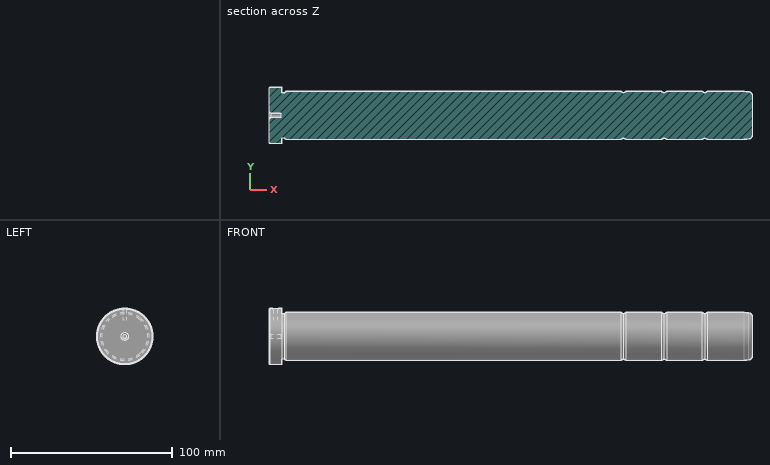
import cadquery as cq
import math

total_length = 300.0
shaft_radius = 15.0
head_diameter = 35.0
head_radius = head_diameter / 2
head_length = 8.0
head_chamfer = 0.5

relief_depth = 1.0
relief_flat = 1.5
relief_slope = 1.0

groove_centers = (220.0, 245.0, 270.3)
groove_width = 3.3
groove_depth = 1.0

nose_radius = 2.7
taper_length = 2.7
taper_drop = 0.3

hole_diameter = 2.5
countersink_diameter = 4.8
hole_depth = 7.5
rim_hole_x = head_length / 2


def pillar_body():
    """Revolve the half section of head, shaft, grooves and nose about X."""
    relief_radius = shaft_radius - relief_depth
    relief_end = head_length + relief_flat
    taper_end = total_length - nose_radius
    taper_radius = shaft_radius - taper_drop
    face_radius = taper_radius - nose_radius
    arc_mid = nose_radius * math.sqrt(0.5)

    section = (
        cq.Workplane("XZ")
        .lineTo(0, head_radius - head_chamfer)
        .lineTo(head_chamfer, head_radius)
        .lineTo(head_length, head_radius)
        .lineTo(head_length, relief_radius)
        .lineTo(relief_end, relief_radius)
        .lineTo(relief_end + relief_slope, shaft_radius)
    )
    for center in groove_centers:
        section = (
            section.lineTo(center - groove_width / 2, shaft_radius)
            .lineTo(center, shaft_radius - groove_depth)
            .lineTo(center + groove_width / 2, shaft_radius)
        )
    section = (
        section.lineTo(taper_end - taper_length, shaft_radius)
        .lineTo(taper_end, taper_radius)
        .threePointArc((taper_end + arc_mid, face_radius + arc_mid), (total_length, face_radius))
        .lineTo(total_length, 0)
        .close()
    )
    return section.revolve(360, (0, 0, 0), (1, 0, 0))


def countersunk_hole(mouth, direction):
    """Blind hole with a 90 degree countersink, entering at mouth along direction."""
    sink_radius = countersink_diameter / 2
    hole_radius = hole_diameter / 2
    sink_depth = sink_radius - hole_radius
    start = cq.Vector(*mouth)
    axis = cq.Vector(*direction)
    drill = cq.Solid.makeCylinder(hole_radius, hole_depth, start, axis)
    sink = cq.Solid.makeCone(sink_radius, hole_radius, sink_depth, start, axis)
    return cq.Workplane(drill).union(cq.Workplane(sink))


end_hole = countersunk_hole((0, 0, 0), (1, 0, 0))
rim_hole = countersunk_hole((rim_hole_x, 0, head_radius), (0, 0, -1))

result = pillar_body().cut(end_hole).cut(rim_hole)